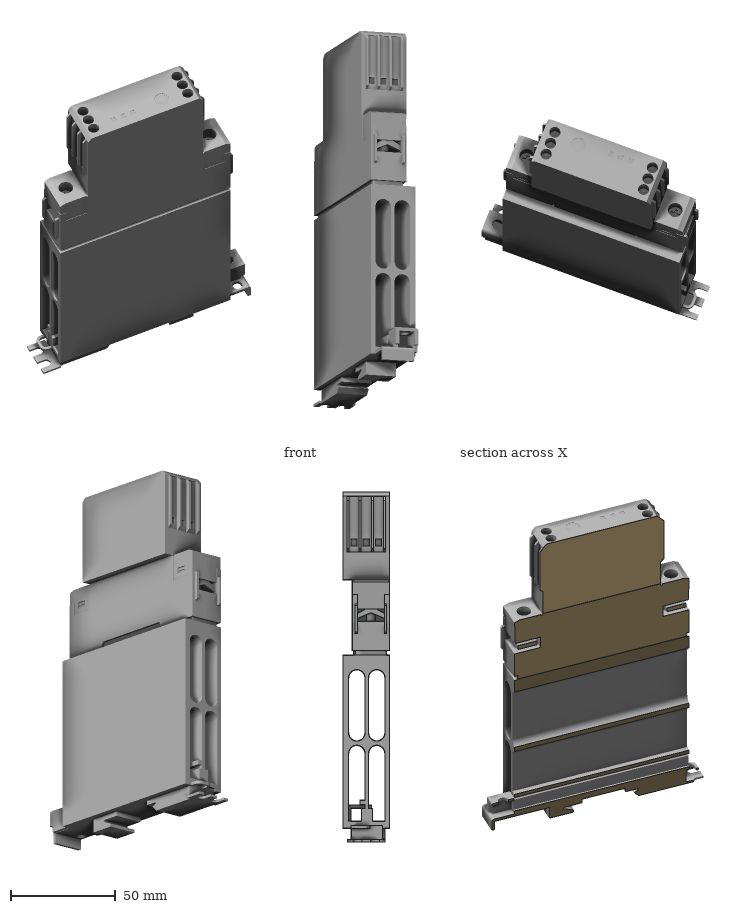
import cadquery as cq


def box(x0, x1, y0, y1, z0, z1):
    """Block between two opposite corners."""
    return cq.Workplane("XY").box(x1 - x0, y1 - y0, z1 - z0, centered=False).translate((x0, y0, z0))


def side_prism(points, x0, x1):
    """Prism along X with an outline of (y, z) points."""
    return cq.Workplane("YZ").polyline(points).close().extrude(x1 - x0).translate((x0, 0, 0))


def front_prism(points, y0, y1):
    """Prism along Y with an outline of (x, z) points."""
    return cq.Workplane("XZ").polyline(points).close().extrude(y0 - y1).translate((0, y0, 0))


def upright_cylinder(x, y, z0, z1, diameter):
    """Vertical cylinder from z0 to z1."""
    return cq.Workplane("XY").center(x, y).circle(diameter / 2).extrude(z1 - z0).translate((0, 0, z0))


def with_mirror(shape):
    """The shape together with its mirror image on the other Y end."""
    return shape.union(shape.mirror("XZ"))


WIDTH = 22.5
HALF_WIDTH = WIDTH / 2
HEIGHT = 167.5
HALF_LENGTH = 45.2

RAIL_FOOT_HEIGHT = 6.5
HEATSINK_TOP = 89.4
CONTACTOR_TOP = 125.4

MODULE_HALF_LENGTH = 30.5
MODULE_CHAMFER = 2.0

WIRE_HOLE_DIAMETER = 5.4
WIRE_HOLE_DEPTH = 6.7
WIRE_PITCH = 5.9
WIRE_HOLE_Y = 25.0

RIB_COUNT = 4
RIB_WIDTH = 1.0
RIB_REACH = 1.7
RIB_TIP_Z = (140.3, 163.4)
PANEL_Z = (138.8, 165.3)
PANEL_RECESS = 0.8
PORT_WIDTH = 3.0
PORT_Z = (141.6, 144.8)
PORT_DEPTH = 1.7

BUTTON_X = 3.9
BUTTON_Y = 12.0
BUTTON_DIAMETER = 7.2
LAMP_SIZE = 2.3
LAMP_X = 5.2
LAMP_PITCH = 5.0
LAMP_MIDDLE_Y = -9.0
MARK_DEPTH = 0.2


def module_end_slots():
    """Recess for the three wire panels with a port in each, at the -Y end."""
    face_y = -MODULE_HALF_LENGTH
    half_span = (RIB_COUNT - 1) * WIRE_PITCH / 2 + RIB_WIDTH / 2
    slots = box(-half_span, half_span, face_y, face_y + PANEL_RECESS, *PANEL_Z)
    for i in (-1, 0, 1):
        left = i * WIRE_PITCH - PORT_WIDTH / 2
        slots = slots.union(
            box(left, left + PORT_WIDTH, face_y, face_y + PANEL_RECESS + PORT_DEPTH, *PORT_Z)
        )
    return slots


def module_end_ribs():
    """Upright ribs that separate the wire panels, at the -Y end."""
    root_y = -MODULE_HALF_LENGTH + PANEL_RECESS
    tip_y = -MODULE_HALF_LENGTH - RIB_REACH
    outline = [
        (root_y, PANEL_Z[0]),
        (-MODULE_HALF_LENGTH, PANEL_Z[0]),
        (tip_y, RIB_TIP_Z[0]),
        (tip_y, RIB_TIP_Z[1]),
        (-MODULE_HALF_LENGTH, PANEL_Z[1]),
        (root_y, PANEL_Z[1]),
    ]
    ribs = cq.Workplane("XY")
    for i in range(RIB_COUNT):
        left = (i - (RIB_COUNT - 1) / 2) * WIRE_PITCH - RIB_WIDTH / 2
        ribs = ribs.union(side_prism(outline, left, left + RIB_WIDTH))
    return ribs


def control_module():
    """Plug-on module on top of the contactor."""
    body = box(-HALF_WIDTH, HALF_WIDTH, -MODULE_HALF_LENGTH, MODULE_HALF_LENGTH, CONTACTOR_TOP, HEIGHT)
    body = body.edges(">Z and |X").chamfer(MODULE_CHAMFER)
    body = body.cut(with_mirror(module_end_slots())).union(with_mirror(module_end_ribs()))

    for y in (-WIRE_HOLE_Y, WIRE_HOLE_Y):
        for i in (-1, 0, 1):
            body = body.cut(
                upright_cylinder(i * WIRE_PITCH, y, HEIGHT - WIRE_HOLE_DEPTH, HEIGHT, WIRE_HOLE_DIAMETER)
            )

    mark_floor = HEIGHT - MARK_DEPTH
    body = body.cut(upright_cylinder(BUTTON_X, BUTTON_Y, mark_floor, HEIGHT, BUTTON_DIAMETER))
    for i in (-1, 0, 1):
        lamp_x = LAMP_X - LAMP_SIZE / 2
        lamp_y = LAMP_MIDDLE_Y + i * LAMP_PITCH - LAMP_SIZE / 2
        body = body.cut(box(lamp_x, lamp_x + LAMP_SIZE, lamp_y, lamp_y + LAMP_SIZE, mark_floor, HEIGHT))
    return body


CONTACTOR_LEFT = -6.7
CONTACTOR_RIGHT = HALF_WIDTH
CONTACTOR_MIDDLE = (CONTACTOR_LEFT + CONTACTOR_RIGHT) / 2
CONTACTOR_BOTTOM = 91.6
SHOULDER = [(2.7, 0.0), (1.3, 0.59), (0.0, 1.0)]

NECK_TOP_INSET = 1.7
NECK_FOOT_INSET = 1.3

LATCH_HALF_LENGTH = 21.8
LATCH_WINDOW_TOP = 94.3
LATCH_TOP = 92.8
LATCH_SLOPE = 0.8
LATCH_GAP = 0.8
LATCH_RECESS = 0.5
LATCH_REACH = 1.3

COVER_INNER_Y = 31.3
COVER_OUTER_Y = 41.9
COVER_SKIRT_Z = 112.5
COVER_SHOULDER_Z = 118.4
COVER_RECESS = 0.2
COVER_LEAN = 0.3
GROOVE_DEPTH = 0.5

POCKET_HALF_WIDTH = 6.4
POCKET_Z = (105.5, 111.5)
POCKET_DEPTH = 13.4

SCREW_Y = 38.0
SCREW_BORE = 7.0
SCREW_HEAD_Z = 118.9
SCREW_SHAFT = 4.4
CROSS_LENGTH = 4.7
CROSS_WIDTH = 1.5
CROSS_DEPTH = 1.7

CLAMP_Y = (-43.5, -33.5)
CLAMP_EAVE_Z = 109.3
CLAMP_FLAT = 2.7
CLAMP_HOLLOW_Z = (107.0, 109.7)

GUARD_THICKNESS = 1.2
GUARD_REACH = 1.8
GUARD_Z = (99.8, 113.9)
GUARD_CHAMFER = 0.7

CATCH_Y = (34.2, 39.0)
CATCH_Z = (115.2, 118.2)
CATCH_DEPTH = (0.3, 0.8)
CATCH_STEPS = 2


def contactor_block():
    """Main block with stepped bevels at both upper ends."""
    right_end = [(HALF_LENGTH - inset, CONTACTOR_TOP - drop) for inset, drop in SHOULDER]
    left_end = [(-y, z) for y, z in reversed(right_end)]
    outline = left_end + right_end + [(HALF_LENGTH, CONTACTOR_BOTTOM), (-HALF_LENGTH, CONTACTOR_BOTTOM)]
    return side_prism(outline, CONTACTOR_LEFT, CONTACTOR_RIGHT)


def contactor_neck():
    """Narrower foot that flares out slightly towards the heatsink."""
    width = CONTACTOR_RIGHT - CONTACTOR_LEFT
    length = 2 * HALF_LENGTH
    neck = (
        cq.Workplane("XY")
        .rect(width - 2 * NECK_FOOT_INSET, length - 2 * NECK_FOOT_INSET)
        .workplane(offset=CONTACTOR_BOTTOM - HEATSINK_TOP)
        .rect(width - 2 * NECK_TOP_INSET, length - 2 * NECK_TOP_INSET)
        .loft()
    )
    return neck.translate((CONTACTOR_MIDDLE, 0, HEATSINK_TOP))


def trapezoid(half_length, bottom, top, x0, x1):
    """Bar along Y whose ends lean in towards the top."""
    upper = half_length - LATCH_SLOPE
    return side_prism([(-half_length, bottom), (half_length, bottom), (upper, top), (-upper, top)], x0, x1)


def latch_window():
    """Sloped window in the lower edge of the -X side."""
    return trapezoid(
        LATCH_HALF_LENGTH, CONTACTOR_BOTTOM, LATCH_WINDOW_TOP, CONTACTOR_LEFT, CONTACTOR_LEFT + LATCH_REACH
    )


def latch():
    """Tongue that sits in the latch window."""
    return trapezoid(
        LATCH_HALF_LENGTH - LATCH_GAP,
        HEATSINK_TOP,
        LATCH_TOP,
        CONTACTOR_LEFT + LATCH_RECESS,
        CONTACTOR_LEFT + LATCH_REACH + NECK_TOP_INSET,
    )


def cover_recess():
    """Thin cuts that set the terminal cover back from the block, at the -Y end."""
    side_outline = [
        (-COVER_INNER_Y, CONTACTOR_TOP),
        (-COVER_INNER_Y, COVER_SKIRT_Z),
        (-COVER_OUTER_Y, COVER_SKIRT_Z),
        (-COVER_OUTER_Y, COVER_SHOULDER_Z),
        (-HALF_LENGTH, COVER_SHOULDER_Z),
        (-HALF_LENGTH, CONTACTOR_TOP),
    ]
    cuts = side_prism(side_outline, CONTACTOR_LEFT, CONTACTOR_LEFT + COVER_RECESS)
    cuts = cuts.union(side_prism(side_outline, CONTACTOR_RIGHT - COVER_RECESS, CONTACTOR_RIGHT))

    leaning_face = [
        (-HALF_LENGTH, CONTACTOR_TOP - SHOULDER[-1][1]),
        (-HALF_LENGTH + COVER_LEAN, POCKET_Z[1]),
        (-HALF_LENGTH, POCKET_Z[1]),
    ]
    end_cut = side_prism(leaning_face, CONTACTOR_LEFT, CONTACTOR_RIGHT)
    for x0, x1 in (
        (CONTACTOR_LEFT, CONTACTOR_MIDDLE - POCKET_HALF_WIDTH),
        (CONTACTOR_MIDDLE + POCKET_HALF_WIDTH, CONTACTOR_RIGHT),
    ):
        end_cut = end_cut.cut(box(x0, x1, -HALF_LENGTH, -COVER_OUTER_Y, POCKET_Z[1], COVER_SHOULDER_Z))

    groove = box(
        CONTACTOR_LEFT, CONTACTOR_RIGHT,
        -COVER_INNER_Y, -MODULE_HALF_LENGTH,
        CONTACTOR_TOP - GROOVE_DEPTH, CONTACTOR_TOP,
    )
    return cuts.union(end_cut).union(groove)


def catch_recess():
    """Stacked wedge notches of the cover's catch, in the -X side at the -Y end."""
    step = (CATCH_Z[1] - CATCH_Z[0]) / CATCH_STEPS
    side_x = CONTACTOR_LEFT
    notches = cq.Workplane("XY")
    for i in range(CATCH_STEPS):
        bottom = CATCH_Z[0] + i * step
        top = bottom + step
        wedge = [
            (side_x, bottom),
            (side_x + CATCH_DEPTH[0], bottom),
            (side_x + CATCH_DEPTH[1], top),
            (side_x, top),
        ]
        notches = notches.union(front_prism(wedge, -CATCH_Y[1], -CATCH_Y[0]))
    return notches


def terminal_pocket():
    """Wire opening in the -Y end and the screw bore above it."""
    pocket = box(
        CONTACTOR_MIDDLE - POCKET_HALF_WIDTH, CONTACTOR_MIDDLE + POCKET_HALF_WIDTH,
        -HALF_LENGTH, -HALF_LENGTH + POCKET_DEPTH,
        *POCKET_Z,
    )
    return pocket.union(
        upright_cylinder(CONTACTOR_MIDDLE, -SCREW_Y, SCREW_HEAD_Z, CONTACTOR_TOP, SCREW_BORE)
    )


def terminal_screw_and_clamp():
    """Gable-shaped clamp plate across the wire opening with its screw shaft."""
    eave = POCKET_HALF_WIDTH
    hollow_bottom, hollow_top = CLAMP_HOLLOW_Z
    outline = [
        (-eave, hollow_bottom), (0, hollow_top), (eave, hollow_bottom),
        (eave, CLAMP_EAVE_Z), (CLAMP_FLAT, POCKET_Z[1]), (-CLAMP_FLAT, POCKET_Z[1]), (-eave, CLAMP_EAVE_Z),
    ]
    clamp = front_prism(outline, *CLAMP_Y).translate((CONTACTOR_MIDDLE, 0, 0))
    return clamp.union(upright_cylinder(CONTACTOR_MIDDLE, -SCREW_Y, *POCKET_Z, SCREW_SHAFT))


def screw_cross():
    """Cross recess in the screw head."""
    long_half = CROSS_LENGTH / 2
    short_half = CROSS_WIDTH / 2
    bottom = SCREW_HEAD_Z - CROSS_DEPTH
    cross = box(-long_half, long_half, -short_half, short_half, bottom, SCREW_HEAD_Z)
    cross = cross.union(box(-short_half, short_half, -long_half, long_half, bottom, SCREW_HEAD_Z))
    return cross.translate((CONTACTOR_MIDDLE, -SCREW_Y, 0))


def terminal_guards():
    """Upright strips on both sides of the wire opening, at the -Y end."""
    guards = cq.Workplane("XY")
    for left in (
        CONTACTOR_MIDDLE - POCKET_HALF_WIDTH - GUARD_THICKNESS,
        CONTACTOR_MIDDLE + POCKET_HALF_WIDTH,
    ):
        strip = box(
            left, left + GUARD_THICKNESS, -HALF_LENGTH - GUARD_REACH, -HALF_LENGTH, *GUARD_Z
        )
        guards = guards.union(strip.edges("<Y and |X").chamfer(GUARD_CHAMFER))
    return guards


def contactor():
    """Middle body with a screw terminal at each end."""
    body = contactor_block().cut(latch_window()).union(contactor_neck()).union(latch())
    body = body.cut(with_mirror(cover_recess()))
    body = body.cut(with_mirror(catch_recess()))
    body = body.cut(with_mirror(terminal_pocket()))
    body = body.union(with_mirror(terminal_screw_and_clamp()))
    body = body.cut(with_mirror(screw_cross()))
    return body.union(with_mirror(terminal_guards()))


CHANNEL_WIDTH = 7.7
CHANNEL_X = (-4.5, 5.0)
UPPER_CHANNEL_Z = (48.4, 82.4)
LOWER_CHANNEL_Z = (10.0, 46.2)
WEB_FOOT_X = (-2.3, 3.0)
WEB_FOOT_TOP = 16.0
WEB_LIP_LEFT = -3.0
WEB_LIP_Z = (17.9, 20.1)

FOOT_X = (-7.2, 7.9)
FOOT_FRONT_Y = -43.7
FIXED_HOOK = [
    (27.1, RAIL_FOOT_HEIGHT), (27.1, 0), (14.4, 0), (14.4, 1.5),
    (19.6, 3.7), (19.6, 4.4), (10.0, 4.4), (10.0, RAIL_FOOT_HEIGHT),
]
SLIDE_HOOK = [
    (-12.2, RAIL_FOOT_HEIGHT), (-12.2, 4.4), (-18.5, 4.4), (-19.0, 3.9), (-16.5, 2.5), (-19.1, 0),
    (FOOT_FRONT_Y, 0), (FOOT_FRONT_Y, RAIL_FOOT_HEIGHT),
]

PLATE_THICKNESS = 1.5
FORK_HALF_WIDTH = 9.0
FORK_TIP_Y = -53.0
FORK_THICKNESS = 1.2
FORK_SLOT_X = 4.2
FORK_SLOT_WIDTH = 4.2
FORK_SLOT_END_Y = -47.2

RING_MIDDLE_X = -2.7
RING_TIP_Y = -50.0
RING_WIDTH = 9.0
RING_BAR = 1.3
RING_OUTER_RADIUS = 3.0
RING_INNER_RADIUS = 1.7

BRACKET_TIP_Y = 57.0
BRACKET_LEFT = -9.0
BRACKET_STEP_X = 2.5
BRACKET_RIGHT = 9.0
BRACKET_WALL = 1.8
BRACKET_TOP = 17.7
BRACKET_ROOF_BOTTOM = 16.0
BRACKET_ROUND = 1.7
BRACKET_NOTCH_Y = 55.0
BRACKET_NOTCH_TOP = 9.7
BRACKET_HOLE = (-3.2, 50.9)
BRACKET_HOLE_DIAMETER = 5.0
FLANGE_LEFT = -6.9
FLANGE_BOTTOM = 1.5
FLANGE_THICKNESS = 1.7
FLANGE_BEND_RADIUS = 1.5
FLANGE_HOLE = (5.7, 51.4)
FLANGE_HOLE_DIAMETER = 4.7


def channel(x_middle, z_range, round_floor):
    """Air channel along the full length, with a round roof and a round or square floor."""
    radius = CHANNEL_WIDTH / 2
    bottom, top = z_range
    roof_z = top - radius
    floor_z = bottom + radius if round_floor else bottom
    outline = (
        cq.Workplane("XZ")
        .moveTo(x_middle - radius, floor_z)
        .lineTo(x_middle - radius, roof_z)
        .threePointArc((x_middle, top), (x_middle + radius, roof_z))
        .lineTo(x_middle + radius, floor_z)
    )
    if round_floor:
        outline = outline.threePointArc((x_middle, bottom), (x_middle - radius, floor_z))
    return outline.close().extrude(HALF_LENGTH, both=True)


def heatsink_block():
    """Main block with four air channels, the stepped web between them and the ring's opening."""
    block = box(-HALF_WIDTH, HALF_WIDTH, -HALF_LENGTH, HALF_LENGTH, RAIL_FOOT_HEIGHT, HEATSINK_TOP)
    web_foot = box(*WEB_FOOT_X, -HALF_LENGTH, HALF_LENGTH, LOWER_CHANNEL_Z[0], WEB_FOOT_TOP)
    web_lip = box(WEB_LIP_LEFT, 0, -HALF_LENGTH, HALF_LENGTH, *WEB_LIP_Z)
    for x in CHANNEL_X:
        block = block.cut(channel(x, UPPER_CHANNEL_Z, round_floor=True))
        block = block.cut(channel(x, LOWER_CHANNEL_Z, round_floor=False))
    block = block.union(web_foot).union(web_lip)
    return block.cut(
        box(*FOOT_X, -HALF_LENGTH, FOOT_FRONT_Y, RAIL_FOOT_HEIGHT, RAIL_FOOT_HEIGHT + PLATE_THICKNESS)
    )


def rail_fork():
    """Forked tongue at the foot of the sliding rail hook."""
    fork = box(-FORK_HALF_WIDTH, FORK_HALF_WIDTH, FORK_TIP_Y, FOOT_FRONT_Y, 0, FORK_THICKNESS)
    radius = FORK_SLOT_WIDTH / 2
    for x in (-FORK_SLOT_X, FORK_SLOT_X):
        centre_y = FORK_SLOT_END_Y - radius
        fork = fork.cut(box(x - radius, x + radius, FORK_TIP_Y, centre_y, 0, FORK_THICKNESS))
        fork = fork.cut(upright_cylinder(x, centre_y, 0, FORK_THICKNESS, FORK_SLOT_WIDTH))
    return fork


def pull_ring():
    """Flat loop in front of the heatsink for releasing the rail hook."""
    outer_half = RING_WIDTH / 2
    inner_half = outer_half - RING_BAR
    z_range = (RAIL_FOOT_HEIGHT, RAIL_FOOT_HEIGHT + PLATE_THICKNESS)
    outer = box(-outer_half, outer_half, RING_TIP_Y, FOOT_FRONT_Y, *z_range)
    outer = outer.edges("<Y and |Z").fillet(RING_OUTER_RADIUS)
    inner = box(-inner_half, inner_half, RING_TIP_Y + RING_BAR, FOOT_FRONT_Y, *z_range)
    inner = inner.edges("<Y and |Z").fillet(RING_INNER_RADIUS)
    return outer.cut(inner).translate((RING_MIDDLE_X, 0, 0))


def rear_bracket():
    """Hollow terminal block and a bent plate at the +Y end."""
    block = box(BRACKET_LEFT, BRACKET_STEP_X, HALF_LENGTH, BRACKET_TIP_Y, RAIL_FOOT_HEIGHT, BRACKET_TOP)
    block = block.edges("<X and >Z").fillet(BRACKET_ROUND)
    block = block.cut(
        box(
            BRACKET_LEFT + BRACKET_WALL, BRACKET_STEP_X - BRACKET_WALL,
            HALF_LENGTH, BRACKET_TIP_Y,
            RAIL_FOOT_HEIGHT, BRACKET_ROOF_BOTTOM,
        )
    )
    block = block.cut(
        box(
            BRACKET_LEFT, BRACKET_STEP_X,
            BRACKET_NOTCH_Y, BRACKET_TIP_Y,
            RAIL_FOOT_HEIGHT, BRACKET_NOTCH_TOP,
        )
    )
    block = block.cut(
        upright_cylinder(*BRACKET_HOLE, BRACKET_ROOF_BOTTOM, BRACKET_TOP, BRACKET_HOLE_DIAMETER)
    )

    plate_top = RAIL_FOOT_HEIGHT + FLANGE_THICKNESS
    plate = box(FLANGE_LEFT, BRACKET_RIGHT, HALF_LENGTH, BRACKET_TIP_Y, FLANGE_BOTTOM, plate_top)
    plate = plate.edges(">Y and >Z").fillet(FLANGE_BEND_RADIUS)
    plate = plate.cut(
        box(
            FLANGE_LEFT, BRACKET_RIGHT,
            HALF_LENGTH, BRACKET_TIP_Y - FLANGE_THICKNESS,
            FLANGE_BOTTOM, RAIL_FOOT_HEIGHT,
        )
    )
    plate = plate.cut(upright_cylinder(*FLANGE_HOLE, FLANGE_BOTTOM, plate_top, FLANGE_HOLE_DIAMETER))
    return block.union(plate)


def heatsink():
    """Bottom body with its rail hooks, pull ring and rear bracket."""
    body = heatsink_block()
    for outline in (FIXED_HOOK, SLIDE_HOOK):
        body = body.union(side_prism(outline, *FOOT_X))
    return body.union(rail_fork()).union(pull_ring()).union(rear_bracket())


result = cq.Compound.makeCompound([
    control_module().solids().val(),
    contactor().solids().val(),
    heatsink().solids().val(),
])